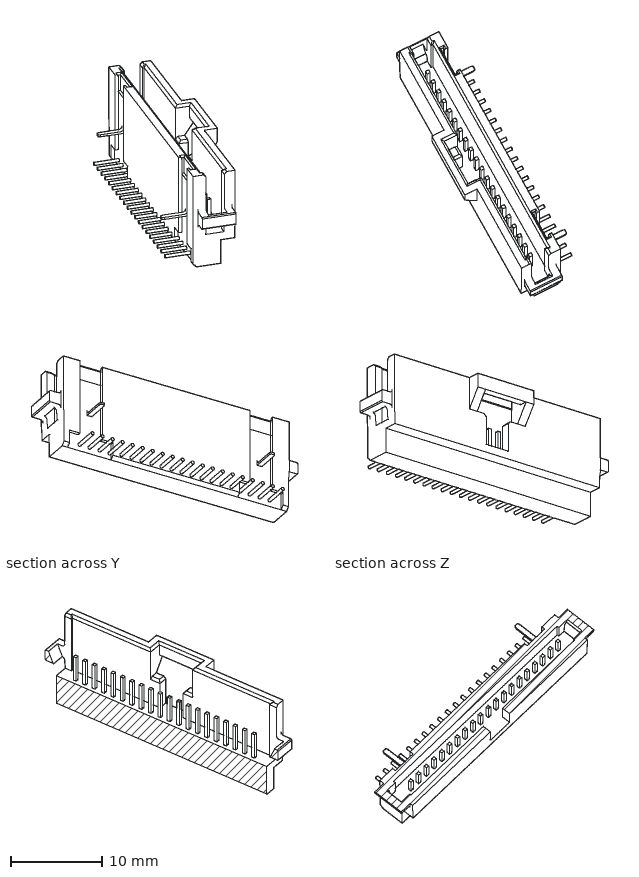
import cadquery as cq


height = 11.2
depth = 4.87
half_length = 14.35
base_half_length = 14.25
taper_top = 4.9
floor_z = 3.82
back_step_y = 3.25
back_step_z = 2.88
base_chamfer = 0.4

cavity_half_length = 13.4
cavity_front = 1.23
cavity_back = 3.8
throat_front = 1.5
throat_back = 3.6
lead_in = 0.3

bridge_half_length = 3.9
bridge_back = 6.38
bridge_bar_z = 9.55
bridge_foot_z = 7.43
slot_half_length = 2.8
slot_back = 5.4
notch_half_length = 1.55

loop_end = 15.8
loop_front = 0.57
loop_back = 4.5
loop_bottom = 5.25
loop_top = 6.7
loop_bar_top = 0.5
loop_bar_bottom = 1.17
loop_root_radius = 0.35
loop_edge_chamfer = 0.13

pin_count = 20
row_span = 24.15
pitch = row_span / (pin_count - 1)
pin_width = 0.38
pin_y = 2.55
pin_top = 7.0
tail_z = 0.75
tail_diameter = 0.38
tail_tip_y = -2.5
tail_root_y = 0.95

clip_x = 8.5 * pitch
seat_depth = 0.4
seat_half_width = 1.42
seat_foot_half_width = 2.75
seat_foot_z = 2.0
pocket_half_width = 1.7
pocket_back = 0.73
pocket_floor_z = 9.07
pocket_lead_in = 0.15
pocket_lead_in_height = 0.22

nail_width = 0.6
nail_bottom = 4.77
nail_thickness = 0.25
nail_bend_radius = 0.35
nail_tip_length = 0.25
nail_tip_inset = 0.1


def block(x0, x1, y0, y1, z0, z1):
    """Axis-aligned box between two opposite corners."""
    return cq.Workplane("XY").box(x1 - x0, y1 - y0, z1 - z0, centered=False).translate((x0, y0, z0))


def side_prism(points, x0, x1):
    """Prism along X from an outline of (y, z) points."""
    return cq.Workplane("YZ").workplane(offset=x0).polyline(points).close().extrude(x1 - x0)


def flare(points, top, width, rise):
    """Lead-in below z = top that widens a plan outline by width over the rise."""
    lower = cq.Workplane("XY").workplane(offset=top - rise).polyline(points).close()
    upper = cq.Workplane("XY").workplane(offset=top).polyline(points).close().offset2D(width, "intersection")
    return cq.Workplane(cq.Solid.makeLoft([lower.val(), upper.val()], True))


def mirrored(outline):
    """Complete an outline by mirroring its +X half across X = 0."""
    return outline + [(-x, y) for x, y in reversed(outline)]


def both_ends(shape):
    """The shape together with its mirror image across X = 0."""
    return shape.union(shape.mirror("YZ"))


def housing():
    profile = [
        (base_chamfer, 0),
        (back_step_y, 0),
        (back_step_y, back_step_z),
        (depth, back_step_z),
        (depth, height),
        (0, height),
        (0, base_chamfer),
    ]
    end_outline = mirrored([
        (base_half_length, 0),
        (base_half_length, floor_z),
        (half_length, taper_top),
        (half_length, height),
    ])
    ends = cq.Workplane("XZ").polyline(end_outline).close().extrude(-depth)
    return side_prism(profile, -half_length, half_length).intersect(ends)


def bridge():
    profile = [
        (cavity_back + lead_in, bridge_foot_z),
        (depth, bridge_foot_z),
        (bridge_back, bridge_bar_z),
        (bridge_back, height),
        (cavity_back + lead_in, height),
    ]
    return side_prism(profile, -bridge_half_length, bridge_half_length)


def cavity():
    past_end = half_length + 2 * lead_in
    throat_edge = [
        (past_end, throat_front),
        (past_end, throat_back),
        (cavity_half_length, throat_back),
        (cavity_half_length, cavity_back),
    ]
    rim_slot = [(slot_half_length, cavity_back), (slot_half_length, slot_back)]
    front_edge = [(cavity_half_length, cavity_front), (cavity_half_length, throat_front)]
    rim = mirrored(front_edge + throat_edge + rim_slot)
    notched_plan = mirrored([
        (slot_half_length, cavity_front),
        (slot_half_length, cavity_back),
        (notch_half_length, cavity_back),
        (notch_half_length, depth + lead_in),
    ])
    slot_span = block(-slot_half_length, slot_half_length, pin_y, bridge_back, floor_z, height)

    room = block(-cavity_half_length, cavity_half_length, cavity_front, cavity_back, floor_z, height)
    throat = block(-past_end, past_end, throat_front, throat_back, floor_z, height)
    notch = block(-notch_half_length, notch_half_length, pin_y, depth, floor_z, height)
    slot = block(-slot_half_length, slot_half_length, pin_y, slot_back, bridge_foot_z, height)
    window = block(-slot_half_length, slot_half_length, pin_y, bridge_back, bridge_foot_z, bridge_bar_z)
    rim_flare = flare(rim, height, lead_in, lead_in)
    ledge_flare = flare(notched_plan, bridge_foot_z, lead_in, lead_in).intersect(slot_span)

    space = room
    for opening in (throat, notch, slot, window, rim_flare, ledge_flare):
        space = space.union(opening)
    return space


def clip_seat():
    """T-shaped recess with a beveled pocket at its top, around X = 0."""
    stem = block(-seat_half_width, seat_half_width, 0, seat_depth, 0, height)
    foot = block(-seat_foot_half_width, seat_foot_half_width, 0, seat_depth, 0, seat_foot_z)
    pocket = block(-pocket_half_width, pocket_half_width, seat_depth, pocket_back, pocket_floor_z, height)
    mouth_plan = mirrored([(pocket_half_width, seat_depth), (pocket_half_width, pocket_back)])
    mouth = flare(mouth_plan, height, pocket_lead_in, pocket_lead_in_height)
    return stem.union(foot).union(pocket).union(mouth)


def latch_loop():
    """Loop on the +X end: two arms rooted with fillets and a bar with a sloped inner face."""
    radius = loop_root_radius
    root_x = half_length + radius
    buried_x = half_length - radius
    outline = (
        cq.Workplane("XZ")
        .moveTo(buried_x, loop_bottom - radius)
        .lineTo(half_length, loop_bottom - radius)
        .radiusArc((root_x, loop_bottom), radius)
        .lineTo(loop_end - loop_edge_chamfer, loop_bottom)
        .lineTo(loop_end, loop_bottom + loop_edge_chamfer)
        .lineTo(loop_end, loop_top - loop_edge_chamfer)
        .lineTo(loop_end - loop_edge_chamfer, loop_top)
        .lineTo(root_x, loop_top)
        .radiusArc((half_length, loop_top + radius), radius)
        .lineTo(buried_x, loop_top + radius)
        .close()
    )
    loop = outline.extrude(-(loop_back - loop_front)).translate((0, loop_front, 0))
    opening = (
        cq.Workplane("XZ")
        .polyline([
            (buried_x, loop_bottom - radius),
            (loop_end - loop_bar_bottom, loop_bottom - radius),
            (loop_end - loop_bar_bottom, loop_bottom),
            (loop_end - loop_bar_top, loop_top),
            (loop_end - loop_bar_top, loop_top + radius),
            (buried_x, loop_top + radius),
        ])
        .close()
        .extrude(-(throat_back - throat_front))
        .translate((0, throat_front, 0))
    )
    return loop.cut(opening)


def contact():
    """Square mating pin and round tail, around X = 0; both are rooted in the housing."""
    half = pin_width / 2
    pin = block(-half, half, pin_y - half, pin_y + half, tail_z, pin_top)
    tail = (
        cq.Workplane("XZ", origin=(0, tail_tip_y, tail_z))
        .circle(tail_diameter / 2)
        .extrude(tail_tip_y - tail_root_y)
    )
    return pin.union(tail)


def nail():
    """Flat nail with a tapered tip and a curved root, around X = 0."""
    half = nail_width / 2
    top = nail_bottom + nail_thickness
    shoulder_y = tail_tip_y + nail_tip_length
    root_y = cavity_front
    plan = mirrored([
        (half - nail_tip_inset, tail_tip_y),
        (half, shoulder_y),
        (half, root_y),
    ])
    blade = cq.Workplane("XY").workplane(offset=nail_bottom).polyline(plan).close().extrude(nail_thickness)
    bend = (
        cq.Workplane("YZ")
        .workplane(offset=-half)
        .moveTo(seat_depth - nail_bend_radius, top)
        .radiusArc((seat_depth, top + nail_bend_radius), -nail_bend_radius)
        .lineTo(root_y, top + nail_bend_radius)
        .lineTo(root_y, top)
        .close()
        .extrude(nail_width)
    )
    return blade.union(bend)


result = housing().union(bridge()).cut(cavity())
result = result.cut(both_ends(clip_seat().translate((clip_x, 0, 0))))
result = result.union(both_ends(latch_loop()))
result = result.union(both_ends(nail().translate((clip_x, 0, 0))))
for index in range(pin_count):
    contact_x = index * pitch - row_span / 2
    result = result.union(contact().translate((contact_x, 0, 0)))